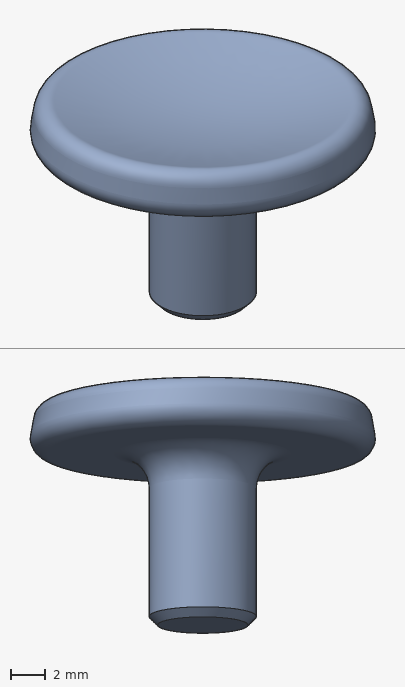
import cadquery as cq
import math

head_radius = 9.94
total_height = 12.86
head_thickness = 2.86

rim_round = 0.95
flank_taper = math.radians(10)

dish_radius = 8.53
dish_depth = 1.2

stem_diameter = 6.18
stem_radius = stem_diameter / 2
stem_chamfer = 0.5
neck_fillet = 2.0

head_bottom = total_height - head_thickness


def on_round(center, radius, angle):
    """Point on a round, with the angle measured upward from the outward direction."""
    return (center[0] + radius * math.cos(angle), center[1] + radius * math.sin(angle))


lower_center = (head_radius - rim_round, head_bottom + rim_round)
upper_z = total_height - rim_round
upper_center = (lower_center[0] - (upper_z - lower_center[1]) * math.tan(flank_taper), upper_z)

dish_edge_angle = math.acos((dish_radius - upper_center[0]) / rim_round)
dish_edge = on_round(upper_center, rim_round, dish_edge_angle)
rim_mid = on_round(upper_center, rim_round, dish_edge_angle / 2)

sphere_radius = (dish_radius**2 + dish_depth**2) / (2 * dish_depth)
dish_bottom = dish_edge[1] - dish_depth
dish_mid_radius = dish_radius / 2
dish_mid_z = dish_bottom + sphere_radius - math.sqrt(sphere_radius**2 - dish_mid_radius**2)

neck_center = (stem_radius + neck_fillet, head_bottom - neck_fillet)
neck_mid = on_round(neck_center, neck_fillet, math.radians(135))

half_section = (
    cq.Workplane("XZ")
    .moveTo(0, 0)
    .lineTo(stem_radius - stem_chamfer, 0)
    .lineTo(stem_radius, stem_chamfer)
    .lineTo(stem_radius, neck_center[1])
    .threePointArc(neck_mid, (neck_center[0], head_bottom))
    .lineTo(lower_center[0], head_bottom)
    .threePointArc(
        on_round(lower_center, rim_round, math.radians(-45)),
        on_round(lower_center, rim_round, flank_taper),
    )
    .lineTo(*on_round(upper_center, rim_round, flank_taper))
    .threePointArc(rim_mid, dish_edge)
    .threePointArc((dish_mid_radius, dish_mid_z), (0, dish_bottom))
    .close()
)

result = half_section.revolve(360, (0, 0, 0), (0, 1, 0))